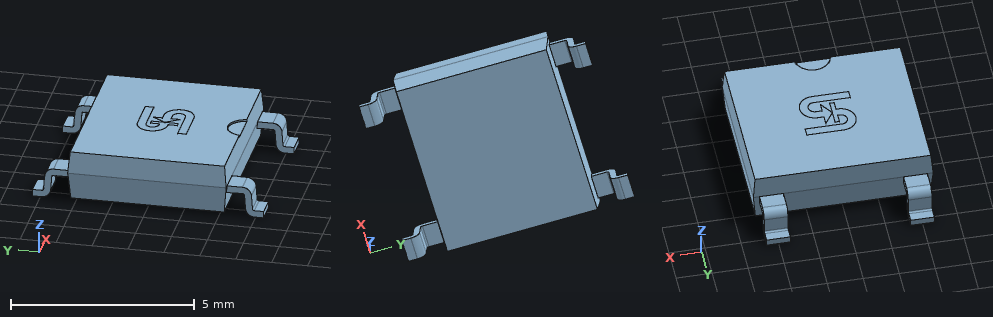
import cadquery as cq
import math

housing_x = 5.0
housing_y = 4.41
top_z = 1.5
parting_z = 0.88
bottom_z = 0.095
draft_angle = 5.0

notch_radius = 0.495
notch_center_y = -2.225
notch_depth = 0.05

overall_y = 6.45
lead_thickness = 0.2
lead_inner_radius = 0.05
lead_outer_radius = lead_inner_radius + lead_thickness
web_foot_y = 2.915
web_lean = 4.0
lead_width = 0.665
lead_center_x = 2.0
narrow_lead_width = 0.64
narrow_lead_center_x = -2.05

inlay_depth = 0.05
inlay_half_span = 0.72
hook_outer_radius = 0.42
hook_band = 0.24
hook_inner_radius = hook_outer_radius - hook_band
hook_center_x = inlay_half_span - hook_outer_radius
hook_center_y = inlay_half_span - hook_outer_radius
head_half_height = 0.375
bar_outer_x = -0.25
arrow_tip_x = -0.13
arrow_base_x = 0.13


def make_housing_half(height):
    """Drafted block rising from the parting plane, or falling for a negative height."""
    return (
        cq.Workplane("XY", origin=(0, 0, parting_z))
        .rect(housing_x, housing_y)
        .extrude(height, taper=draft_angle)
    )


def make_housing_blank():
    upper = make_housing_half(top_z - parting_z)
    lower = make_housing_half(bottom_z - parting_z)
    return upper.union(lower)


def make_notch():
    return (
        cq.Workplane("XY", origin=(0, notch_center_y, top_z - notch_depth))
        .circle(notch_radius)
        .extrude(notch_depth)
    )


def make_lead(center_x, width, side, housing_blank):
    """Lead ending against the housing wall; side is +1 at the back and -1 at the front."""
    lean = math.radians(web_lean)
    tip_y = overall_y / 2
    root_y = housing_y / 2 - lead_thickness
    under_arm_z = parting_z - lead_thickness
    web_width = lead_thickness / math.cos(lean)

    def web_y(z):
        return web_foot_y - (z - lead_thickness) * math.tan(lean)

    outline = [
        (root_y, parting_z),
        (web_y(parting_z), parting_z),
        (web_y(lead_thickness), lead_thickness),
        (tip_y, lead_thickness),
        (tip_y, 0),
        (web_y(0) - web_width, 0),
        (web_y(under_arm_z) - web_width, under_arm_z),
        (root_y, under_arm_z),
    ]
    outer_bends = [outline[1], outline[5]]
    inner_bends = [outline[2], outline[6]]

    def bend_edges(points):
        return cq.selectors.SumSelector(
            *[cq.NearestToPointSelector((0, y, z)) for y, z in points]
        )

    lead = (
        cq.Workplane("YZ")
        .polyline(outline)
        .close()
        .extrude(width / 2, both=True)
    )
    lead = lead.edges("|X").edges(bend_edges(outer_bends)).fillet(lead_outer_radius)
    lead = lead.edges("|X").edges(bend_edges(inner_bends)).fillet(lead_inner_radius)
    if side < 0:
        lead = lead.mirror("XZ")
    return lead.translate((center_x, 0, 0)).cut(housing_blank)


def make_hook(head_x):
    """Hook band opening to +X, with its lower arm reaching to head_x."""
    top_y = inlay_half_span
    bend_x = -hook_center_x
    return (
        cq.Workplane("XY", origin=(0, 0, top_z - inlay_depth))
        .moveTo(inlay_half_span, top_y)
        .lineTo(bend_x, top_y)
        .threePointArc(
            (bend_x - hook_outer_radius, hook_center_y),
            (bend_x, hook_center_y - hook_outer_radius),
        )
        .lineTo(head_x, hook_center_y - hook_outer_radius)
        .lineTo(head_x, hook_center_y - hook_inner_radius)
        .lineTo(bend_x, hook_center_y - hook_inner_radius)
        .threePointArc(
            (bend_x - hook_inner_radius, hook_center_y),
            (bend_x, hook_center_y + hook_inner_radius),
        )
        .lineTo(inlay_half_span, top_y - hook_band)
        .close()
        .extrude(inlay_depth)
    )


def make_bar_inlay():
    bar_width = arrow_tip_x - bar_outer_x
    bar = (
        cq.Workplane("XY", origin=(0, 0, top_z - inlay_depth))
        .center(bar_outer_x + bar_width / 2, 0)
        .rect(bar_width, 2 * head_half_height)
        .extrude(inlay_depth)
    )
    return make_hook(bar_outer_x).union(bar)


def make_arrow_inlay():
    """Hook turned half a revolution about Z, with an arrowhead pointing at the bar."""
    arrowhead = (
        cq.Workplane("XY", origin=(0, 0, top_z - inlay_depth))
        .polyline([
            (arrow_tip_x, 0),
            (arrow_base_x, head_half_height),
            (arrow_base_x, -head_half_height),
        ])
        .close()
        .extrude(inlay_depth)
    )
    hook = make_hook(-arrow_base_x).rotate((0, 0, 0), (0, 0, 1), 180)
    return hook.union(arrowhead)


housing_blank = make_housing_blank()

lead_layout = [
    (narrow_lead_center_x, narrow_lead_width, -1),
    (lead_center_x, lead_width, -1),
    (-lead_center_x, lead_width, 1),
    (lead_center_x, lead_width, 1),
]
leads = [make_lead(x, width, side, housing_blank) for x, width, side in lead_layout]

bar_inlay = make_bar_inlay()
arrow_inlay = make_arrow_inlay()
housing = housing_blank.cut(make_notch()).cut(bar_inlay).cut(arrow_inlay)

result = cq.Compound.makeCompound([
    *housing.val().Solids(),
    *[solid for lead in leads for solid in lead.val().Solids()],
    *bar_inlay.val().Solids(),
    *arrow_inlay.val().Solids(),
])